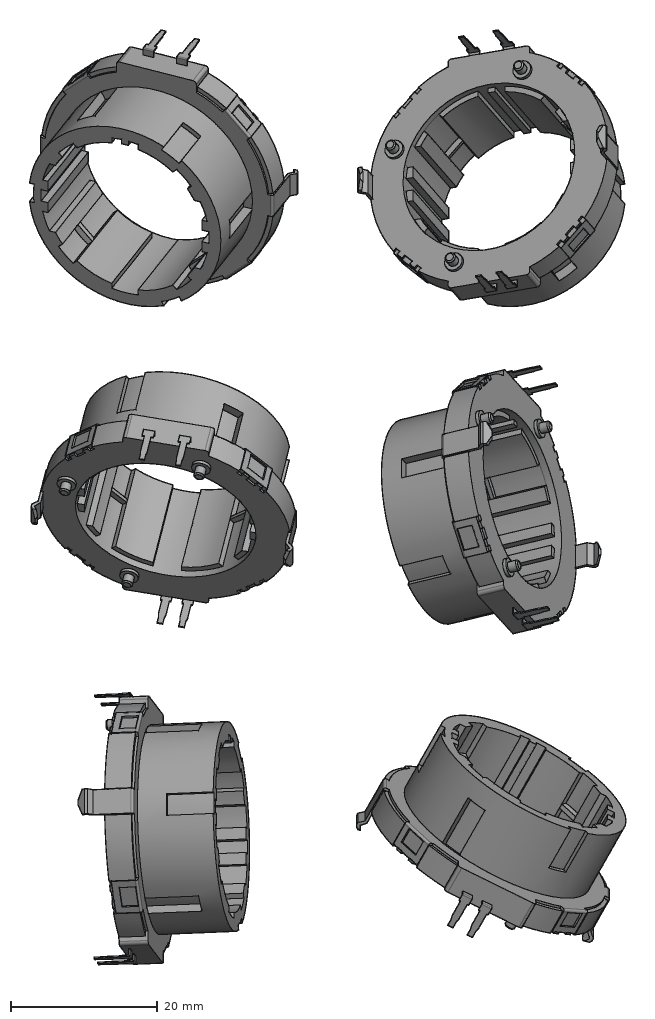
import cadquery as cq
FLANGE_FRONT = -4.05
SLEEVE_LENGTH = 10.5
SLEEVE_FRONT = FLANGE_FRONT - SLEEVE_LENGTH
SLEEVE_RADIUS = 14.4
BODY_RADIUS = 17.45

PLATE_THICKNESS = 0.35
PLATE_BACK = FLANGE_FRONT + PLATE_THICKNESS
PLATE_RADIUS = 16.8

PAD_HALF_WIDTH = 6.0
PAD_HALF_HEIGHT = 17.5
PAD_CORNER_RADIUS = 0.5

BORE_RADIUS = 11.8
WIDE_BORE_RADIUS = 12.6
SIDE_HALF_HEIGHT = 5.55
KEYWAY_HALF_WIDTH = 1.97
TOP_RIB_HALF_WIDTH = 0.51
TOP_RIB_TIP = 11.9
SIDE_RIB_TIP = 11.55
SIDE_RIB_INNER = 0.95
SIDE_RIB_OUTER = 2.6
REAR_RECESS_DEPTH = 1.05

DIAGONALS = (45, 135, 225, 315)
RECESS_HALF_WIDTH = 1.53
BAR_FRONT_DISTANCE = 11.79
BAR_BACK_DISTANCE = 11.69
BAR_SEAT_DEPTH = 0.1
BAR_FOOT = -9.55
BAR_FRONT = -9.3
BAR_BACK = -8.65

GROOVE_HALF_WIDTH = 1.52
FRONT_GROOVE_ANGLES = (60, 180, 300)
FRONT_GROOVE_LENGTH = 6.45
FRONT_GROOVE_FLOOR = 13.72
REAR_GROOVE_ANGLES = (0, 120, 240)
REAR_GROOVE_LENGTH = 7.45
REAR_GROOVE_FLOOR = 13.0

CLIP_DISTANCE = 17.4
CLIP_HALF_WIDTH = 2.6
CLIP_BACK = -0.35
CLIP_SEAT_DISTANCE = 16.7
CLIP_BEND_RADIUS = 0.35
PRONG_WIDTH = 1.0
PRONG_DISTANCE = 17.25
PRONG_OFFSET = 1.3
WINDOW_HALF_WIDTH = 1.57
WINDOW_FRONT = -3.6
WINDOW_BACK = -1.32
WINDOW_DEPTH = 0.3

LEG_HALF_WIDTH = 1.75
LEG_INNER = 17.1
LEG_OUTER = 17.5
LEG_BEND_RADIUS = 0.35
LEG_OUTER_KINK_Y = 1.57
LEG_INNER_KINK_Y = 1.75
LEG_ELBOW_OUTER = 18.25
LEG_ELBOW_INNER = 17.78
LEG_ELBOW_START_Y = 2.24
LEG_ELBOW_END_Y = 2.66
LEG_ELBOW_INNER_Y = 2.5
LEG_TIP_OUTER = 17.5
LEG_TIP_INNER = 17.17
LEG_TIP_Y = 3.69
LEG_TIP_INNER_Y = 3.45
LEG_TIP_HALF_WIDTH = 0.3
LEG_TAPER_START = 3.02
LEG_SLOT_HALF_WIDTH = 1.85

PIN_REACH = 18.6
PIN_THICKNESS = 0.2
PIN_FRONT = -1.15
PIN_TIP_Y = 3.95
PIN_BEND_RADIUS = 0.15
PIN_ROOT = 17.0
TOP_PIN_XS = (-2.52, 2.52)
TOP_PIN_BASE_HALF_WIDTH = 0.8
TOP_PIN_SHANK_HALF_WIDTH = 0.46
TOP_PIN_TIP_HALF_WIDTH = 0.37
TOP_PIN_TAPER_START = 2.7
TOP_PIN_TAPER_END = 3.1
BOTTOM_PIN_XS = (-3.02, 0.0)
BOTTOM_PIN_BASE_HALF_WIDTH = 0.75
BOTTOM_PIN_SHANK_HALF_WIDTH = 0.53
BOTTOM_PIN_TIP_HALF_WIDTH = 0.4
BOTTOM_PIN_TAPER_START = 2.4
BOTTOM_PIN_TAPER_END = 3.0

PEG_LONG = 13.77
PEG_SHORT = 5.02
PEG_CENTERS = (
    (-PEG_SHORT, PEG_LONG),
    (PEG_LONG, PEG_SHORT),
    (PEG_SHORT, -PEG_LONG),
)
PEG_RADIUS = 0.75
PEG_HEIGHT = 1.9
PEG_CHAMFER = 0.2
COLLAR_RADIUS = 1.3
COLLAR_HEIGHT = 0.48

OVERLAP = 1.0


def span(x_low, x_high, y_low, y_high, z_low, z_high):
    """Box between two opposite corners."""
    box = cq.Workplane("XY").box(x_high - x_low, y_high - y_low, z_high - z_low, centered=False)
    return box.translate((x_low, y_low, z_low))


def disc(radius, y_low, y_high, x=0.0, z=0.0):
    """Cylinder along Y."""
    plane = cq.Workplane("XZ", origin=(x, y_high, z))
    return plane.circle(radius).extrude(y_high - y_low)


def turned(shape, angle):
    """Shape built on the +X side, turned about the ring axis from +X towards +Z."""
    return shape.rotate((0, 0, 0), (0, 1, 0), -angle)


def make_flange():
    body = disc(BODY_RADIUS, PLATE_BACK, 0)
    plate = disc(PLATE_RADIUS, FLANGE_FRONT, PLATE_BACK)
    pads = span(-PAD_HALF_WIDTH, PAD_HALF_WIDTH, FLANGE_FRONT, 0, -PAD_HALF_HEIGHT, PAD_HALF_HEIGHT)
    pads = pads.edges("|Y").fillet(PAD_CORNER_RADIUS)
    return body.union(plate).union(pads)


def make_bore():
    """Cutting tool for the bore with its keyways, leaving the ribs."""
    back = OVERLAP
    front = SLEEVE_FRONT - OVERLAP
    reach = WIDE_BORE_RADIUS + OVERLAP
    sides = span(-reach, reach, front, back, -SIDE_HALF_HEIGHT, SIDE_HALF_HEIGHT)
    keyways = span(-KEYWAY_HALF_WIDTH, KEYWAY_HALF_WIDTH, front, back, -reach, reach)
    widening = disc(WIDE_BORE_RADIUS, front, back).intersect(sides.union(keyways))
    bore = disc(BORE_RADIUS, front, back).union(widening)
    bore = bore.cut(span(-TOP_RIB_HALF_WIDTH, TOP_RIB_HALF_WIDTH, front, back, TOP_RIB_TIP, reach))
    side_rib = span(SIDE_RIB_TIP, reach, front, back, SIDE_RIB_INNER, SIDE_RIB_OUTER)
    for rib in (side_rib, side_rib.mirror("XY")):
        bore = bore.cut(rib).cut(rib.mirror("YZ"))
    return bore.union(disc(WIDE_BORE_RADIUS, -REAR_RECESS_DEPTH, back))


def make_bar():
    """Bar across a recess, with a slanted front and a top that rises to the back, on the +X side."""
    seat = WIDE_BORE_RADIUS + BAR_SEAT_DEPTH
    return (
        cq.Workplane("XY", origin=(0, 0, -RECESS_HALF_WIDTH))
        .moveTo(WIDE_BORE_RADIUS, BAR_FOOT)
        .lineTo(BAR_FRONT_DISTANCE, BAR_FRONT)
        .lineTo(BAR_BACK_DISTANCE, BAR_BACK)
        .lineTo(seat, BAR_BACK)
        .lineTo(seat, BAR_FOOT)
        .close()
        .extrude(2 * RECESS_HALF_WIDTH)
    )


def make_recess(y_low, y_high):
    """Cutting tool for a recess in the wall of the bore, on the +X side."""
    inside = BORE_RADIUS - OVERLAP
    block = span(inside, WIDE_BORE_RADIUS, y_low, y_high, -RECESS_HALF_WIDTH, RECESS_HALF_WIDTH)
    return block.intersect(disc(WIDE_BORE_RADIUS, y_low, y_high))


def make_groove(floor_radius, y_low, y_high):
    """Cutting tool for a groove in the outside of the sleeve, on the +X side."""
    inside = floor_radius - OVERLAP
    block = span(inside, SLEEVE_RADIUS, y_low, y_high, -GROOVE_HALF_WIDTH, GROOVE_HALF_WIDTH)
    rim = disc(SLEEVE_RADIUS, y_low, y_high).cut(disc(floor_radius, y_low, y_high))
    return block.intersect(rim)


def make_clip_seat():
    """Cutting tool that flattens the flange edge under and behind a clip, on the +X side."""
    outside = BODY_RADIUS + OVERLAP
    back = OVERLAP
    return span(CLIP_SEAT_DISTANCE, outside, FLANGE_FRONT, back, -CLIP_HALF_WIDTH, CLIP_HALF_WIDTH)


def make_clip():
    """Clip with two prongs and a window, on the +X side."""
    root = CLIP_SEAT_DISTANCE - OVERLAP
    clip = span(root, CLIP_DISTANCE, FLANGE_FRONT, CLIP_BACK, -CLIP_HALF_WIDTH, CLIP_HALF_WIDTH)
    clip = clip.edges(">X and <Y").fillet(CLIP_BEND_RADIUS)
    for side in (-1, 1):
        low = side * PRONG_OFFSET - PRONG_WIDTH / 2
        clip = clip.union(span(root, PRONG_DISTANCE, CLIP_BACK, 0, low, low + PRONG_WIDTH))
    return clip


def make_window():
    """Cutting tool for the window of a clip, on the +X side."""
    floor = CLIP_DISTANCE - WINDOW_DEPTH
    outside = CLIP_DISTANCE + OVERLAP
    return span(floor, outside, WINDOW_FRONT, WINDOW_BACK, -WINDOW_HALF_WIDTH, WINDOW_HALF_WIDTH)


def make_leg_slot():
    """Cutting tool that makes room for a snap leg, on the +X side."""
    outside = BODY_RADIUS + OVERLAP
    back = OVERLAP
    return span(LEG_INNER, outside, PLATE_BACK, back, -LEG_SLOT_HALF_WIDTH, LEG_SLOT_HALF_WIDTH)


def make_leg():
    """Snap leg bent back from the plate, kinked outwards and pointed at its tip, on the +X side."""
    root = PLATE_RADIUS - OVERLAP
    profile = (
        cq.Workplane("XY", origin=(0, 0, -LEG_HALF_WIDTH))
        .moveTo(root, FLANGE_FRONT)
        .lineTo(LEG_OUTER, FLANGE_FRONT)
        .lineTo(LEG_OUTER, LEG_OUTER_KINK_Y)
        .lineTo(LEG_ELBOW_OUTER, LEG_ELBOW_START_Y)
        .lineTo(LEG_ELBOW_OUTER, LEG_ELBOW_END_Y)
        .lineTo(LEG_TIP_OUTER, LEG_TIP_Y)
        .lineTo(LEG_TIP_INNER, LEG_TIP_INNER_Y)
        .lineTo(LEG_ELBOW_INNER, LEG_ELBOW_INNER_Y)
        .lineTo(LEG_INNER, LEG_INNER_KINK_Y)
        .lineTo(LEG_INNER, PLATE_BACK)
        .lineTo(root, PLATE_BACK)
        .close()
    )
    leg = profile.extrude(2 * LEG_HALF_WIDTH)
    corner = cq.selectors.NearestToPointSelector((LEG_OUTER, FLANGE_FRONT, 0))
    leg = leg.edges(corner)
    leg = leg.fillet(LEG_BEND_RADIUS)
    pointed = (
        cq.Workplane("YZ")
        .moveTo(FLANGE_FRONT, -LEG_HALF_WIDTH)
        .lineTo(LEG_TAPER_START, -LEG_HALF_WIDTH)
        .lineTo(LEG_TIP_Y, -LEG_TIP_HALF_WIDTH)
        .lineTo(LEG_TIP_Y, LEG_TIP_HALF_WIDTH)
        .lineTo(LEG_TAPER_START, LEG_HALF_WIDTH)
        .lineTo(FLANGE_FRONT, LEG_HALF_WIDTH)
        .close()
        .extrude(LEG_ELBOW_OUTER + OVERLAP)
    )
    return leg.intersect(pointed)


def make_pin(base_half, shank_half, tip_half, taper_start, taper_end):
    """Bent contact pin on the +Z side, centred on x = 0."""
    outline = [
        (base_half, PIN_FRONT),
        (base_half, 0),
        (shank_half, 0),
        (shank_half, taper_start),
        (tip_half, taper_end),
        (tip_half, PIN_TIP_Y),
    ]
    mirrored = [(-x, y) for x, y in reversed(outline)]
    blank = cq.Workplane("XY").polyline(outline + mirrored).close().extrude(PIN_REACH)
    upright_back = PIN_FRONT + PIN_THICKNESS
    upright = span(-base_half, base_half, PIN_FRONT, upright_back, PIN_ROOT, PIN_REACH)
    blade = span(-base_half, base_half, PIN_FRONT, PIN_TIP_Y, PIN_REACH - PIN_THICKNESS, PIN_REACH)
    bent = upright.union(blade).edges("|X and >Z and <Y").fillet(PIN_BEND_RADIUS)
    return bent.intersect(blank)


def make_peg(x, z):
    collar = disc(COLLAR_RADIUS, 0, COLLAR_HEIGHT, x, z)
    peg = disc(PEG_RADIUS, -OVERLAP, PEG_HEIGHT, x, z).edges(">Y").chamfer(PEG_CHAMFER)
    return collar.union(peg)


ring = make_flange().union(disc(SLEEVE_RADIUS, SLEEVE_FRONT, FLANGE_FRONT))

front_groove = make_groove(
    FRONT_GROOVE_FLOOR, SLEEVE_FRONT - OVERLAP, SLEEVE_FRONT + FRONT_GROOVE_LENGTH
)
for angle in FRONT_GROOVE_ANGLES:
    ring = ring.cut(turned(front_groove, angle))
rear_groove = make_groove(REAR_GROOVE_FLOOR, FLANGE_FRONT - REAR_GROOVE_LENGTH, PLATE_BACK)
for angle in REAR_GROOVE_ANGLES:
    ring = ring.cut(turned(rear_groove, angle))

ring = ring.cut(make_bore())
for angle in DIAGONALS:
    ring = ring.cut(turned(make_recess(SLEEVE_FRONT - OVERLAP, 0), angle))
    ring = ring.union(turned(make_bar(), angle))
    ring = ring.cut(turned(make_clip_seat(), angle))
    ring = ring.union(turned(make_clip(), angle))
    ring = ring.cut(turned(make_window(), angle))

for angle in (0, 180):
    ring = ring.cut(turned(make_leg_slot(), angle))
    ring = ring.union(turned(make_leg(), angle))

top_pin = make_pin(
    TOP_PIN_BASE_HALF_WIDTH,
    TOP_PIN_SHANK_HALF_WIDTH,
    TOP_PIN_TIP_HALF_WIDTH,
    TOP_PIN_TAPER_START,
    TOP_PIN_TAPER_END,
)
for pin_x in TOP_PIN_XS:
    ring = ring.union(top_pin.translate((pin_x, 0, 0)))

bottom_pin = make_pin(
    BOTTOM_PIN_BASE_HALF_WIDTH,
    BOTTOM_PIN_SHANK_HALF_WIDTH,
    BOTTOM_PIN_TIP_HALF_WIDTH,
    BOTTOM_PIN_TAPER_START,
    BOTTOM_PIN_TAPER_END,
).mirror("XY")
for pin_x in BOTTOM_PIN_XS:
    ring = ring.union(bottom_pin.translate((pin_x, 0, 0)))

for peg_x, peg_z in PEG_CENTERS:
    ring = ring.union(make_peg(peg_x, peg_z))

result = ring